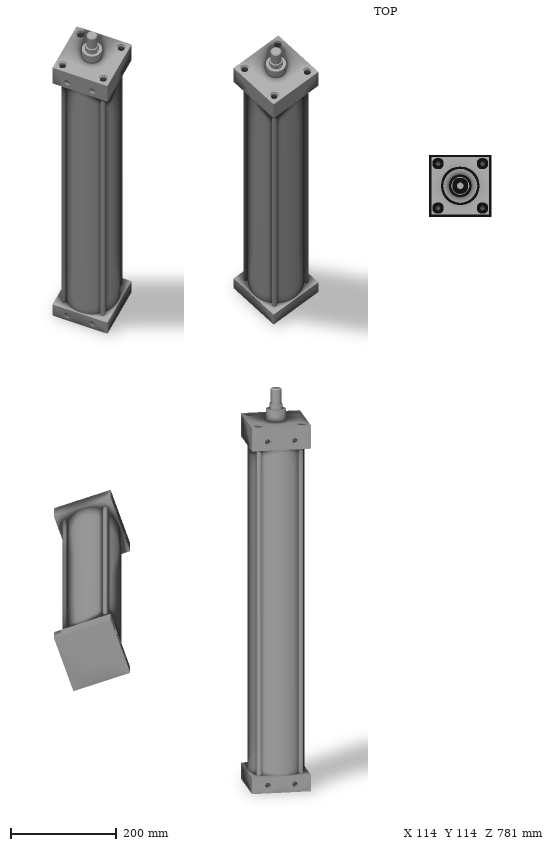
import cadquery as cq
import math

total_height = 781.0
head_width = 114.0
cap_height = 32.0
head_bottom = 674.0
head_top = 719.0
head_height = head_top - head_bottom

barrel_diameter = 108.0
tie_rod_diameter = 9.0
tie_rod_spacing = 80.5

drill_point_angle = 118
mouth_depth = 2.0
corner_hole_spacing = 84.0
corner_mouth_diameter = 17.0
corner_hole_diameter = 13.0
corner_hole_depth = 19.5
mount_hole_spacing = 52.0
mount_mouth_diameter = 13.0
mount_hole_diameter = 10.0
mount_hole_depth = 19.5
head_mount_height = 690.5
cap_mount_height = 15.0

gland_diameter = 69.0
collar_diameter = 38.0
collar_top = 740.5
lip_diameter = 26.5
lip_top = 742.0
rod_diameter = 26.0
flats_bottom = 744.0
flats_top = 751.0
flats_width = 23.5
tip_diameter = 20.0
tip_chamfer = 1.5


def cylinder(diameter, bottom, top):
    """Upright cylinder on the Z axis between two heights."""
    return cq.Workplane("XY").workplane(offset=bottom).circle(diameter / 2).extrude(top - bottom)


def square_plate(bottom, height):
    """Square end plate centred on the Z axis."""
    return cq.Workplane("XY").workplane(offset=bottom).rect(head_width, head_width).extrude(height)


def corners(spacing):
    """Corner points of a centred square."""
    half = spacing / 2
    return [(x, y) for x in (-half, half) for y in (-half, half)]


def tapped_hole(mouth_diameter, diameter, depth):
    """Cutter for a tapped hole that opens at the origin and runs down -Z."""
    point_height = diameter / 2 / math.tan(math.radians(drill_point_angle / 2))
    profile = [
        (0, 0),
        (mouth_diameter / 2, 0),
        (mouth_diameter / 2, -mouth_depth),
        (diameter / 2, -mouth_depth),
        (diameter / 2, -depth),
        (0, -depth - point_height),
    ]
    return cq.Workplane("XZ").polyline(profile).close().revolve(360, (0, 0), (0, 1))


def make_housing():
    """Cap, barrel, tie rods and head in one piece, bored for the gland."""
    housing = square_plate(0, cap_height)
    housing = housing.union(square_plate(head_bottom, head_height))
    housing = housing.union(cylinder(barrel_diameter, cap_height, head_bottom))
    for x, y in corners(tie_rod_spacing):
        housing = housing.union(cylinder(tie_rod_diameter, cap_height, head_bottom).translate((x, y, 0)))
    corner_hole = tapped_hole(corner_mouth_diameter, corner_hole_diameter, corner_hole_depth)
    for x, y in corners(corner_hole_spacing):
        housing = housing.cut(corner_hole.translate((x, y, head_top)))
    mount_hole = tapped_hole(mount_mouth_diameter, mount_hole_diameter, mount_hole_depth)
    mount_hole = mount_hole.rotate((0, 0, 0), (1, 0, 0), 90)
    for x in (-mount_hole_spacing / 2, mount_hole_spacing / 2):
        for z in (cap_mount_height, head_mount_height):
            housing = housing.cut(mount_hole.translate((x, -head_width / 2, z)))
    return housing.cut(cylinder(gland_diameter, head_bottom, head_top))


def make_rod():
    """Gland, collar and stepped rod end, with two wrench flats facing X."""
    rod = cylinder(gland_diameter, head_bottom, head_top)
    rod = rod.union(cylinder(collar_diameter, head_top, collar_top))
    rod = rod.union(cylinder(lip_diameter, collar_top, lip_top))
    rod = rod.union(cylinder(rod_diameter, lip_top, flats_bottom))
    flats_height = flats_top - flats_bottom
    flats_slab = (
        cq.Workplane("XY").workplane(offset=flats_bottom).rect(flats_width, rod_diameter).extrude(flats_height)
    )
    rod = rod.union(cylinder(rod_diameter, flats_bottom, flats_top).intersect(flats_slab))
    return rod.union(cylinder(tip_diameter, flats_top, total_height).faces(">Z").chamfer(tip_chamfer))


housing = make_housing()
rod = make_rod()

result = cq.Compound.makeCompound([housing.val(), rod.val()])